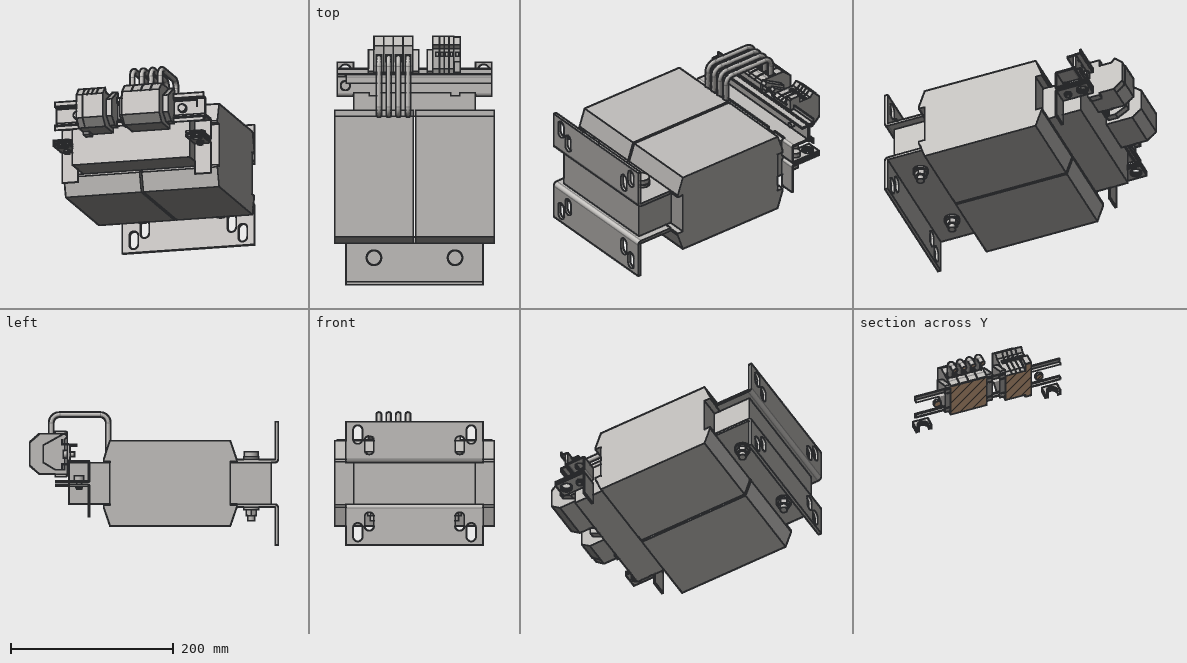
import cadquery as cq



def block(x_range, y_range, z_range):
    """Box spanning the given (low, high) ranges."""
    size = [high - low for low, high in (x_range, y_range, z_range)]
    corner = (x_range[0], y_range[0], z_range[0])
    return cq.Workplane("XY").box(*size, centered=False).translate(corner)


def side_profile(points, x_range):
    """Closed (y, z) outline extruded along X."""
    start, end = x_range
    return cq.Workplane("YZ").polyline(points).close().extrude(end - start).translate((start, 0, 0))


def upright_rod(x, y, z_range, diameter):
    low, high = z_range
    return cq.Workplane("XY", origin=(x, y, low)).circle(diameter / 2).extrude(high - low)


def upright_hex(x, y, z_range, across_corners):
    low, high = z_range
    return cq.Workplane("XY", origin=(x, y, low)).polygon(6, across_corners).extrude(high - low)


def mirrored(solid, plane):
    """The solid together with its mirror image through the origin."""
    return solid.union(solid.mirror(plane))


inner_bend_radius = 1.0


yoke_half_width = 75.0
yoke_half_height = 25.5
yoke_depth = 50.5
yoke_front = 8.5
coil_front = yoke_front + yoke_depth
coil_length = 148.0
coil_back = coil_front + coil_length
yoke_back = coil_back + yoke_depth

coil_half_width = 98.0
coil_half_height = 52.5
coil_gap = 2.8
flare_depth = 8.0
flare_bottom = 26.5
flare_edge = 29.3


def yokes():
    x_range = (-yoke_half_width, yoke_half_width)
    z_range = (-yoke_half_height, yoke_half_height)
    front = block(x_range, (yoke_front, coil_front), z_range)
    return front.union(block(x_range, (coil_back, yoke_back), z_range))


def coil():
    """Right-hand coil, with slanted ends that overhang the yokes above and below."""
    upper = [
        (coil_front, flare_bottom),
        (coil_front - flare_depth, flare_bottom),
        (coil_front - flare_depth, flare_edge),
        (coil_front, coil_half_height),
        (coil_back, coil_half_height),
        (coil_back + flare_depth, flare_edge),
        (coil_back + flare_depth, flare_bottom),
        (coil_back, flare_bottom),
    ]
    lower = [(y, -z) for y, z in reversed(upper)]
    return side_profile(upper + lower, (coil_gap / 2, coil_half_width))



angle_half_width = 84.3
angle_thickness = 4.0
angle_top = 75.8
angle_depth = coil_front - flare_depth
slot_width = 11.3
slot_length = 22.5
outer_slot = (69.7, 60.0)
inner_slot = (55.5, 46.8)


def front_angle():
    """Upper L-shaped mounting angle with four upright slots."""
    bottom = yoke_half_height
    x_range = (-angle_half_width, angle_half_width)
    outline = [
        (0, bottom),
        (angle_depth, bottom),
        (angle_depth, bottom + angle_thickness),
        (angle_thickness, bottom + angle_thickness),
        (angle_thickness, angle_top),
        (0, angle_top),
    ]
    angle = side_profile(outline, x_range)
    angle = angle.edges("|X and <Y and <Z").fillet(angle_thickness + inner_bend_radius)
    centres = [(side * x, z) for x, z in (outer_slot, inner_slot) for side in (-1, 1)]
    slots = (
        cq.Workplane("XZ").pushPoints(centres)
        .slot2D(slot_length, slot_width, 90).extrude(-angle_thickness)
    )
    return angle.cut(slots)



clamp_x = 49.8
clamp_y = 33.3
washer_diameter = 18.5
washer_height = 3.5
head_diameter = 17.5
head_top = 39.0
nut_corners = 14.7
nut_bottom = -39.7
stud_diameter = 9.0
stud_bottom = -46.0


def clamp_bolt(x):
    """Bolt through the front yoke, head on top, nut and stud end below."""
    seat = yoke_half_height + angle_thickness
    washer_top = seat + washer_height
    return (
        upright_rod(x, clamp_y, (seat, washer_top), washer_diameter)
        .union(upright_rod(x, clamp_y, (washer_top, head_top), head_diameter))
        .union(upright_rod(x, clamp_y, (-washer_top, -seat), washer_diameter))
        .union(upright_hex(x, clamp_y, (nut_bottom, -washer_top), nut_corners))
        .union(upright_rod(x, clamp_y, (stud_bottom, nut_bottom), stud_diameter))
    )



sheet = 2.0
bracket_half_width = 95.0
bracket_top = 48.0
bracket_back = 258.0
flange_front = 247.5
flange_left = -84.0
relief_width = 1.0
relief_bottom = 38.2
plate_front = 236.0
ear_front = 231.5
ear_bend_radius = sheet + inner_bend_radius
lug_back = 273.8
lug_gap = 2.5
lower_ear_bottom = -41.0
lug_hole_y = 263.7
lug_hole_diameter = 14.0
lug_bolt_x = 85.0
lug_bolt_y = 244.8
access_hole_diameter = 11.0
tab_x = 50.0
tab_width = 11.0
tab_front = 232.3

plate_top = yoke_half_height + sheet
ear_x_range = (yoke_half_width, bracket_half_width)


def upper_ear():
    """Right end of the bracket: bends down beside the yoke and back into a lug."""
    lug_bottom = lug_gap / 2
    ear = block(ear_x_range, (ear_front, plate_front + inner_bend_radius), (yoke_half_height, plate_top))
    ear = ear.union(block(ear_x_range, (ear_front, ear_front + sheet), (lug_bottom, plate_top)))
    ear = ear.union(block(ear_x_range, (ear_front, lug_back), (lug_bottom, lug_bottom + sheet)))
    return ear.edges("|X and <Y").fillet(ear_bend_radius).cut(lug_hole())


def lower_ear():
    """Right counter piece: lug under the upper lug, with a leg hanging down."""
    lug_top = -lug_gap / 2
    ear = block(ear_x_range, (ear_front, lug_back), (lug_top - sheet, lug_top))
    leg = block(ear_x_range, (ear_front, ear_front + sheet), (lower_ear_bottom, lug_top))
    return ear.union(leg).edges("|X and <Y and >Z").fillet(ear_bend_radius).cut(lug_hole())


def lug_hole():
    centre_x = sum(ear_x_range) / 2
    return upright_rod(centre_x, lug_hole_y, (-plate_top, plate_top), lug_hole_diameter)


def lug_bolt():
    """Right bolt that clamps the two lugs together."""
    lug_face = lug_gap / 2 + sheet
    cap_height = 5.8
    cap_diameter = 12.0
    nut_height = 2.0
    nut_across_corners = 9.2
    shank_diameter = 6.0
    stud_length = 1.8
    nut_face = -lug_face - nut_height
    tip = nut_face - stud_length
    return (
        upright_rod(lug_bolt_x, lug_bolt_y, (lug_face, lug_face + cap_height), cap_diameter)
        .union(upright_hex(lug_bolt_x, lug_bolt_y, (nut_face, -lug_face), nut_across_corners))
        .union(upright_rod(lug_bolt_x, lug_bolt_y, (tip, lug_face), shank_diameter))
    )


def rear_bracket():
    """Plate on the yoke, bent up into a wall and forward into a top flange."""
    wall_front = bracket_back - sheet
    bend_radius = sheet + inner_bend_radius
    angle_outline = [
        (plate_front, yoke_half_height),
        (bracket_back, yoke_half_height),
        (bracket_back, bracket_top),
        (wall_front, bracket_top),
        (wall_front, plate_top),
        (plate_front, plate_top),
    ]
    bracket = side_profile(angle_outline, (-bracket_half_width, bracket_half_width))
    bracket = bracket.edges("|X and >Y and <Z").fillet(bend_radius)
    bracket = bracket.cut(
        block((flange_left - relief_width, flange_left), (wall_front, bracket_back),
              (relief_bottom, bracket_top))
    )
    bracket = bracket.cut(
        block((flange_left, bracket_half_width), (wall_front, bracket_back),
              (bracket_top - bend_radius, bracket_top))
    )
    flange_outline = [
        (flange_front, bracket_top),
        (bracket_back, bracket_top),
        (bracket_back, bracket_top - bend_radius),
        (wall_front, bracket_top - bend_radius),
        (wall_front, bracket_top - sheet),
        (flange_front, bracket_top - sheet),
    ]
    flange = side_profile(flange_outline, (flange_left, bracket_half_width))
    flange = flange.edges("|X and >Y and >Z").fillet(sheet)
    bracket = bracket.union(flange)
    for x in (-tab_x, tab_x):
        tab_x_range = (x - tab_width / 2, x + tab_width / 2)
        tab = block(tab_x_range, (tab_front, plate_front), (yoke_half_height, plate_top))
        bracket = bracket.union(tab)
    access = upright_rod(-lug_bolt_x, lug_bolt_y, (yoke_half_height, plate_top), access_hole_diameter)
    return bracket.cut(access)



rail_sheet = 1.2
rail_centre_z = 35.8
rail_half_height = 17.7
rail_web_half_height = 12.8
rail_depth = 8.0
rail_back = bracket_back + rail_depth
screw_x = 67.0
screw_diameter = 6.0
screw_head_diameter = 9.8


def rail():
    """Hat-section rail with its web against the bracket and its brims facing back."""
    web_back = bracket_back + rail_sheet
    upper = [
        (bracket_back, rail_web_half_height),
        (rail_back - rail_sheet, rail_web_half_height),
        (rail_back - rail_sheet, rail_half_height),
        (rail_back, rail_half_height),
        (rail_back, rail_web_half_height - rail_sheet),
        (web_back, rail_web_half_height - rail_sheet),
    ]
    lower = [(y, -z) for y, z in reversed(upper)]
    outline = [(y, rail_centre_z + z) for y, z in upper + lower]
    return side_profile(outline, (-bracket_half_width, bracket_half_width))


def rail_screw(x):
    """Screw joining rail and bracket, head inside the rail."""
    head_back = 264.0
    tip = 250.3
    head_front = bracket_back + rail_sheet
    shank = cq.Workplane("XZ", origin=(x, head_front, rail_centre_z)).circle(screw_diameter / 2)
    head = cq.Workplane("XZ", origin=(x, head_back, rail_centre_z)).circle(screw_head_diameter / 2)
    return shank.extrude(head_front - tip).union(head.extrude(head_back - head_front))



terminal_front = 259.0
terminal_back = 305.5
terminal_ridge = 293.7
terminal_top = 61.0
terminal_bottom = 11.3
chamfer_top = 50.7
chamfer_bottom = 21.5
foot_back = 274.5
foot_top = 64.2
foot_bottom = 8.0
joint_width = 0.3
joint_depth = 0.5

large_left = -49.8
large_pitch = 12.0
large_count = 4
large_right = large_left + large_count * large_pitch
small_left = 22.3
small_pitch = 5.8
small_first_extra = 2.8
small_count = 4
small_right = small_left + small_first_extra + small_count * small_pitch
earth_right = 56.2
earth_back = 304.7
stop_x_ranges = ((-56.5, large_left), (large_right, 5.5), (15.5, small_left))
first_wire_offset = 6.0
wire_x = [large_left + first_wire_offset + index * large_pitch for index in range(large_count)]


def lower_terminal_outline(back, ridge):
    """Underside, rear face and rear chamfer up to the given (y, z) ridge."""
    return [
        (terminal_front, terminal_bottom),
        (terminal_ridge, terminal_bottom),
        (back, chamfer_bottom),
        (back, chamfer_top),
        ridge,
    ]


def joint(x, top_points):
    """Thin groove cutter that follows the (y, z) top contour of a terminal row."""
    below = [(y, z - joint_depth) for y, z in reversed(top_points)]
    return side_profile(top_points + below, (x - joint_width / 2, x + joint_width / 2))


def foot(x_range):
    """Tall narrow foot gripping the rail."""
    tip = 1.8
    return (
        block(x_range, (terminal_front, foot_back), (foot_bottom, foot_top))
        .edges("|X and <Y").chamfer(tip)
    )


def large_terminals():
    """Row of four wide terminals that receive the wires."""
    front_facets = [(269.2, terminal_top), (261.0, 60.5), (terminal_front, 56.8)]
    entry_width = 7.0
    entry_y_range = (274.0, 283.0)
    entry_depth = 1.5
    ridge = (terminal_ridge, terminal_top)
    outline = lower_terminal_outline(terminal_back, ridge) + front_facets
    top_contour = [(terminal_back, chamfer_top), ridge] + front_facets
    row = side_profile(outline, (large_left, large_right))
    for index in range(1, large_count):
        row = row.cut(joint(large_left + index * large_pitch, top_contour))
    for x in wire_x:
        entry_x_range = (x - entry_width / 2, x + entry_width / 2)
        row = row.cut(block(entry_x_range, entry_y_range, (terminal_top - entry_depth, terminal_top)))
    return row


def small_terminals():
    """Row of four narrow terminals plus the earth terminal at its right end."""
    ridge = (295.0, 60.2)
    deck_top = 55.0
    deck = [(290.0, deck_top), (265.3, deck_top), (terminal_front, 52.5)]
    entry_size = 3.5
    entry_y_range = (280.8, 285.7)
    outline = lower_terminal_outline(terminal_back, ridge) + deck
    top_contour = [(terminal_back, chamfer_top), ridge] + deck
    earth_outline = lower_terminal_outline(earth_back, ridge) + deck
    earth_x_range = (small_right + joint_width, earth_right)
    row = side_profile(outline, (small_left, small_right))
    row = row.union(side_profile(earth_outline, (small_right, earth_right)))
    row = row.cut(joint(small_right, top_contour))
    row = row.union(foot(earth_x_range))
    centres = [sum(earth_x_range) / 2]
    for index in range(small_count):
        right = small_left + small_first_extra + (index + 1) * small_pitch
        centres.append(right - small_pitch / 2)
        if index < small_count - 1:
            row = row.cut(joint(right, top_contour))
    for x in centres:
        entry_x_range = (x - entry_size / 2, x + entry_size / 2)
        row = row.cut(block(entry_x_range, entry_y_range, (deck_top - entry_size, deck_top)))
    return row


def end_stop(x_range):
    """Wedge-shaped clamp that holds a terminal row on the rail."""
    stop_front = 262.2
    stop_back = 289.0
    stop_bottom = 16.8
    stop_top = 61.7
    outline = [
        (stop_front, 54.5),
        (terminal_front, 57.5),
        (stop_front, stop_top),
        (stop_back, 46.8),
        (stop_back, 25.7),
        (foot_back, stop_bottom),
        (stop_front, stop_bottom),
    ]
    return side_profile(outline, x_range)



wire_diameter = 6.5
wire_top = 87.7
wire_bend = 10.0
wire_back = 279.0
wire_front = 209.0
wire_low_end = 27.5
wire_terminal_end = 58.0


def wire(x):
    """Round wire rising from a coil, bending over and dropping into a terminal."""
    level = wire_top - wire_diameter / 2
    path = (
        cq.Workplane("YZ", origin=(x, 0, 0))
        .moveTo(wire_front, wire_low_end)
        .lineTo(wire_front, level - wire_bend)
        .radiusArc((wire_front + wire_bend, level), wire_bend)
        .lineTo(wire_back - wire_bend, level)
        .radiusArc((wire_back, level - wire_bend), wire_bend)
        .lineTo(wire_back, wire_terminal_end)
    )
    section = cq.Workplane("XY", origin=(x, wire_front, wire_low_end)).circle(wire_diameter / 2)
    return section.sweep(path)



result = yokes().union(mirrored(coil(), "YZ"))
result = result.union(mirrored(front_angle(), "XY"))
for bolt_x in (-clamp_x, clamp_x):
    result = result.union(clamp_bolt(bolt_x))

result = result.union(rear_bracket())
for end_part in (upper_ear(), lower_ear(), lug_bolt()):
    result = result.union(mirrored(end_part, "YZ"))

result = result.union(rail())
for rail_screw_x in (-screw_x, screw_x):
    result = result.union(rail_screw(rail_screw_x))

result = result.union(large_terminals()).union(small_terminals())
for stop_x_range in stop_x_ranges:
    result = result.union(end_stop(stop_x_range))
for wire_position in wire_x:
    result = result.union(wire(wire_position))